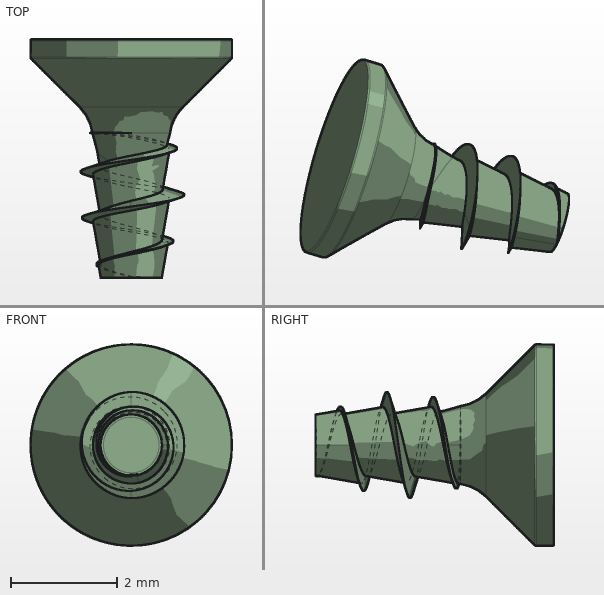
import cadquery as cq
import math

LENGTH = 4.5

HEAD_RADIUS = 1.9
RIM_DEPTH = 0.355
RIM_TOP_FILLET = 0.03
RIM_BOTTOM_FILLET = 0.045
CONE_END_DEPTH = 1.28
CONE_END_RADIUS = HEAD_RADIUS - (CONE_END_DEPTH - RIM_DEPTH)

NECK_DEPTH = 1.765
NECK_RADIUS = 0.735
NECK_TAPER = math.radians(15)
NECK_END_DEPTH = 2.5
NECK_END_RADIUS = NECK_RADIUS - (NECK_END_DEPTH - NECK_DEPTH) * math.tan(NECK_TAPER)

CORE_TAPER = math.radians(10)
CORE_TOP_RADIUS = 0.732
TIP_RADIUS = 0.577
TIP_DISH_RADIUS = 0.524
TIP_DISH_DEPTH = 0.025
CORE_INNER_RADIUS = 0.35
CORE_FILL_RADIUS = 0.56
CORE_TURN_GAP = 0.02

PITCH = 0.88
FLANK_ANGLE = math.radians(15)
RUNOUT_END_TURN = 0.5
FULL_START_TURN = 1.5
FULL_END_TURN = 2.0
THREAD_END_TURN = 3.5
RUNOUT_END_DEPTH = 1.835
THREAD_RADIUS = 1.0
THREAD_START_RADIUS = 0.73
THREAD_END_RADIUS = 0.59
THREAD_BASE_RADIUS = 0.5
CORE_END_TURN = 3.7
POINTS_PER_TURN = 12


def helix_depth(turn):
    """Depth of the uniform helix at a turn."""
    return RUNOUT_END_DEPTH + PITCH * (turn - RUNOUT_END_TURN)


def thread_depth(turn):
    """The thread follows the helix, but levels out smoothly along the run-out at the neck."""
    if turn >= RUNOUT_END_TURN:
        return helix_depth(turn)
    rise = RUNOUT_END_DEPTH - NECK_DEPTH
    power = PITCH * RUNOUT_END_TURN / rise
    return NECK_DEPTH + rise * (turn / RUNOUT_END_TURN) ** power


def crest_radius(turn):
    """The crest rises from the neck to the full radius, then falls to the tip."""
    if turn < FULL_START_TURN:
        share = turn / FULL_START_TURN
        return THREAD_START_RADIUS + share * (THREAD_RADIUS - THREAD_START_RADIUS)
    if turn <= FULL_END_TURN:
        return THREAD_RADIUS
    share = (turn - FULL_END_TURN) / (THREAD_END_TURN - FULL_END_TURN)
    return THREAD_RADIUS + share * (THREAD_END_RADIUS - THREAD_RADIUS)


def thread_section(turn):
    """Pointed thread profile as (radius, depth) corners; its base is buried in the core."""
    crest = crest_radius(turn)
    depth = thread_depth(turn)
    half_width = (crest - THREAD_BASE_RADIUS) * math.tan(FLANK_ANGLE)
    return [
        (crest, depth),
        (THREAD_BASE_RADIUS, depth + half_width),
        (THREAD_BASE_RADIUS, depth - half_width),
    ]


def core_section(turn):
    """One pitch of the tapered core; neighbouring turns stay clear of each other."""
    start = helix_depth(turn)
    end = start + PITCH
    return [
        (CORE_TOP_RADIUS, start),
        (CORE_TOP_RADIUS - PITCH * math.tan(CORE_TAPER), end),
        (CORE_INNER_RADIUS, end - CORE_TURN_GAP),
        (CORE_INNER_RADIUS, start + CORE_TURN_GAP),
    ]


def helix_point(turn, radius, depth):
    """Point at a turn, radius and depth; turns advance from +Z through -X."""
    angle = 2 * math.pi * turn
    return cq.Vector(-radius * math.sin(angle), -depth, radius * math.cos(angle))


def section_points(section, turn):
    return [helix_point(turn, radius, depth) for radius, depth in section(turn)]


def helical_solid(section, turn_stops):
    """Solid swept by a section that may change along the helix, in one stretch per stop pair."""
    faces = []
    for start, end in zip(turn_stops, turn_stops[1:]):
        steps = math.ceil((end - start) * POINTS_PER_TURN)
        turns = [start + (end - start) * i / steps for i in range(steps + 1)]
        rows = [section_points(section, turn) for turn in turns]
        edges = [cq.Edge.makeSpline(list(corner_path)) for corner_path in zip(*rows)]
        for edge, next_edge in zip(edges, edges[1:] + edges[:1]):
            faces.append(cq.Face.makeRuledSurface(edge, next_edge))
    for turn in (turn_stops[0], turn_stops[-1]):
        outline = cq.Wire.makePolygon(section_points(section, turn), close=True)
        faces.append(cq.Face.makeFromWires(outline))
    solid = cq.Solid.makeSolid(cq.Shell.makeShell(faces))
    return cq.Workplane(obj=solid.fix())


def revolve_profile(profile):
    return profile.close().revolve(360, (0, 0, 0), (0, 1, 0))


def make_head_and_neck():
    profile = (
        cq.Workplane("XY")
        .lineTo(HEAD_RADIUS, 0)
        .lineTo(HEAD_RADIUS, -RIM_DEPTH)
        .lineTo(CONE_END_RADIUS, -CONE_END_DEPTH)
        .tangentArcPoint((NECK_RADIUS, -NECK_DEPTH), relative=False)
        .lineTo(NECK_END_RADIUS, -NECK_END_DEPTH)
        .lineTo(0, -NECK_END_DEPTH)
    )
    solid = revolve_profile(profile)
    solid = solid.edges(cq.NearestToPointSelector((0, -RIM_DEPTH, 0))).fillet(RIM_BOTTOM_FILLET)
    return solid.faces(">Y").edges().fillet(RIM_TOP_FILLET)


def make_core():
    cone_top_radius = TIP_RADIUS + (LENGTH - NECK_DEPTH) * math.tan(CORE_TAPER)
    tip_cone = revolve_profile(
        cq.Workplane("XY")
        .moveTo(0, -NECK_DEPTH)
        .lineTo(cone_top_radius, -NECK_DEPTH)
        .lineTo(TIP_RADIUS, -LENGTH)
        .lineTo(0, -LENGTH)
    )
    fill_length = LENGTH - NECK_DEPTH
    fill = cq.Workplane("XZ", origin=(0, -NECK_DEPTH, 0)).circle(CORE_FILL_RADIUS).extrude(fill_length)
    stepped_taper = helical_solid(core_section, [0, CORE_END_TURN])
    return stepped_taper.intersect(tip_cone).union(fill)


def make_thread():
    stops = [0, RUNOUT_END_TURN, FULL_START_TURN, FULL_END_TURN, THREAD_END_TURN]
    return helical_solid(thread_section, stops)


def make_tip_dish():
    """Shallow spherical hollow in the tip face."""
    sphere_radius = (TIP_DISH_RADIUS**2 + TIP_DISH_DEPTH**2) / (2 * TIP_DISH_DEPTH)
    middle_radius = TIP_DISH_RADIUS / 2
    middle_drop = sphere_radius - math.sqrt(sphere_radius**2 - middle_radius**2)
    dish_middle = (middle_radius, TIP_DISH_DEPTH - middle_drop - LENGTH)
    return revolve_profile(
        cq.Workplane("XY")
        .moveTo(TIP_DISH_RADIUS, -LENGTH)
        .lineTo(0, -LENGTH)
        .lineTo(0, TIP_DISH_DEPTH - LENGTH)
        .threePointArc(dish_middle, (TIP_DISH_RADIUS, -LENGTH))
    )


result = make_head_and_neck().union(make_core()).union(make_thread()).cut(make_tip_dish())